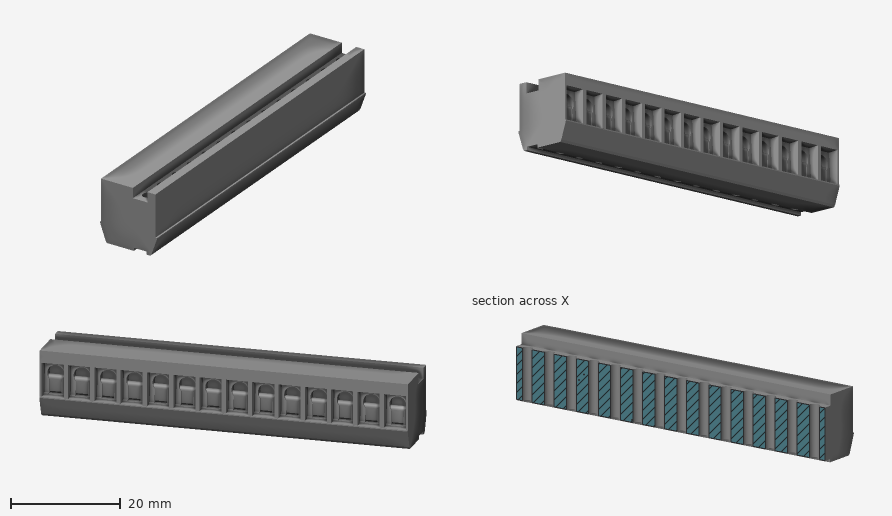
import cadquery as cq

length = 70.0
pole_count = 14
pitch = length / pole_count

width = 12.4
height = 12.8
left_face_x = 0.2
right_face_x = 12.05
ledge_z = 4.0
skirt_top_z = 3.8
skirt_taper = 1.2
base_chamfer_height = 0.4
base_chamfer_inset = 0.3
channel_left_x = 7.15
channel_right_x = 10.3
channel_depth = 2.1
base_groove_left_x = 7.35
base_groove_right_x = 10.1
base_groove_depth = 0.6

screw_x = 8.75
screw_hole_diameter = 2.1

pocket_width = 4.2
pocket_top_z = 10.5
pocket_top_back_z = 10.35
pocket_depth_bottom = 1.75
pocket_depth_top = 2.2
floor_step_depth = 1.3
floor_step_height = 0.35

slot_width = 2.3
slot_depth = 2.1
slot_floor_z = 4.2
slot_undercut_height = 0.35
slot_undercut_depth = 0.3
wire_hole_diameter = 3.2
wire_hole_z = 8.0
wire_hole_depth = 3.5
wire_hole_end_lean = 0.15
shelf_front_z = 8.05
shelf_back_z = 7.35
shelf_edge_radius = 0.7

base_inset = skirt_taper + base_chamfer_inset
slot_face_x = left_face_x + slot_depth
wire_hole_end_x = left_face_x + wire_hole_depth
step_x = left_face_x + floor_step_depth
step_z = ledge_z + floor_step_height


def extrude_along_y(points, span, centre_y):
    """Extrude a closed XZ outline along Y, centred on centre_y."""
    outline = cq.Workplane("XZ", origin=(0, centre_y, 0)).polyline(points).close()
    return outline.extrude(span / 2, both=True)


def make_body():
    outline = [
        (base_inset, 0),
        (base_groove_left_x, 0),
        (base_groove_left_x, base_groove_depth),
        (base_groove_right_x, base_groove_depth),
        (base_groove_right_x, 0),
        (width - base_inset, 0),
        (width - skirt_taper, base_chamfer_height),
        (width, skirt_top_z),
        (width, ledge_z),
        (right_face_x, ledge_z),
        (right_face_x, height),
        (channel_right_x, height),
        (channel_right_x, height - channel_depth),
        (channel_left_x, height - channel_depth),
        (channel_left_x, height),
        (left_face_x, height),
        (left_face_x, ledge_z),
        (0, ledge_z),
        (0, skirt_top_z),
        (skirt_taper, base_chamfer_height),
    ]
    return extrude_along_y(outline, length, length / 2)


def make_pocket(y):
    """Space of one wire entry, with a step up across its floor."""
    outline = [
        (0, ledge_z),
        (step_x, ledge_z),
        (step_x, step_z),
        (left_face_x + pocket_depth_bottom, step_z),
        (left_face_x + pocket_depth_top, pocket_top_back_z),
        (left_face_x, pocket_top_z),
        (0, pocket_top_z),
    ]
    return extrude_along_y(outline, pocket_width, y)


def make_slot(y):
    """Space of the slot, undercut at its foot."""
    outline = [
        (step_x, slot_floor_z),
        (slot_face_x + slot_undercut_depth, slot_floor_z),
        (slot_face_x, slot_floor_z + slot_undercut_height),
        (slot_face_x, shelf_front_z),
        (step_x, shelf_front_z),
    ]
    return extrude_along_y(outline, slot_width, y)


def make_wire_hole(y):
    """Round hole with a leaning end, floored by a shelf falling away inwards, front edge rounded."""
    hole_bottom_z = wire_hole_z - wire_hole_diameter / 2
    hole_top_z = wire_hole_z + wire_hole_diameter / 2
    outline = [
        (left_face_x, hole_bottom_z),
        (slot_face_x, hole_bottom_z),
        (slot_face_x, shelf_front_z),
        (wire_hole_end_x, shelf_back_z),
        (wire_hole_end_x + wire_hole_end_lean, hole_top_z),
        (left_face_x, hole_top_z),
    ]
    shelf_edge = cq.selectors.NearestToPointSelector((slot_face_x, y, shelf_front_z))
    space = extrude_along_y(outline, pocket_width, y).edges(shelf_edge).fillet(shelf_edge_radius)
    bore = (
        cq.Workplane("YZ", origin=(left_face_x, y, wire_hole_z))
        .circle(wire_hole_diameter / 2)
        .extrude(wire_hole_depth + wire_hole_end_lean)
    )
    return bore.intersect(space)


def make_screw_hole(y):
    return cq.Workplane("XY", origin=(screw_x, y, 0)).circle(screw_hole_diameter / 2).extrude(height)


result = make_body()
for index in range(pole_count):
    centre_y = (index + 0.5) * pitch
    result = result.cut(make_pocket(centre_y))
    result = result.cut(make_slot(centre_y))
    result = result.cut(make_wire_hole(centre_y))
    result = result.cut(make_screw_hole(centre_y))